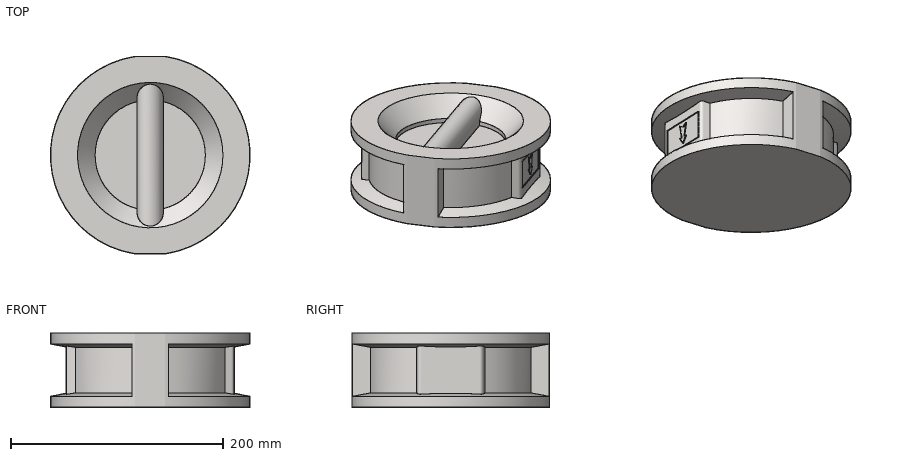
import cadquery as cq
import math

outer_radius = 94.0
flat_to_flat = 186.0
height = 70.0
rim_thickness = 10.3
core_radius = 77.5
flange_root_thickness = 13.5

mouth_radius = 68.5
throat_radius = 51.9
cone_depth = 19.0
floor_depth = 23.1

bar_width = 24.6
bar_radius = bar_width / 2
bar_top_depth = 1.9

rib_half_width = 17.1

boss_reach = 79.1
boss_root_half_width = 32.3
boss_face_half_width = 30.3
boss_edge_radius = 3.4

plate_width = 50.4
plate_height = 26.7
plate_depth = 1.0
arrow_length = 20.0
arrow_half_width = 5.0
arrow_neck_half_width = 2.0
arrow_head_length = 6.8
arrow_tail_notch = 3.0

middle = height / 2


def make_body():
    profile = [
        (0, 0),
        (outer_radius, 0),
        (outer_radius, rim_thickness),
        (core_radius, flange_root_thickness),
        (core_radius, height - flange_root_thickness),
        (outer_radius, height - rim_thickness),
        (outer_radius, height),
        (0, height),
    ]
    return cq.Workplane("XZ").polyline(profile).close().revolve(360, (0, 0), (0, 1))


def make_ribs():
    disc = cq.Workplane("XY").circle(outer_radius).extrude(height)
    strip = cq.Workplane("XY").rect(2 * rib_half_width, 2 * outer_radius).extrude(height)
    return disc.intersect(strip)


def make_bosses():
    root_x = math.sqrt(core_radius**2 - boss_root_half_width**2)
    outline = [
        (-boss_reach, -boss_face_half_width),
        (-root_x, -boss_root_half_width),
        (root_x, -boss_root_half_width),
        (boss_reach, -boss_face_half_width),
        (boss_reach, boss_face_half_width),
        (root_x, boss_root_half_width),
        (-root_x, boss_root_half_width),
        (-boss_reach, boss_face_half_width),
    ]
    bosses = cq.Workplane("XY").polyline(outline).close().extrude(height)
    outer_corners = bosses.edges("|Z and (>X or <X)")
    return outer_corners.fillet(boss_edge_radius)


def make_mouth():
    profile = [
        (0, height),
        (mouth_radius, height),
        (throat_radius, height - cone_depth),
        (throat_radius, height - floor_depth),
        (0, height - floor_depth),
    ]
    return cq.Workplane("XZ").polyline(profile).close().revolve(360, (0, 0), (0, 1))


def make_bar():
    floor = height - floor_depth
    top = height - bar_top_depth
    bar = (
        cq.Workplane("XZ")
        .moveTo(-bar_radius, floor)
        .lineTo(bar_radius, floor)
        .lineTo(bar_radius, top - bar_radius)
        .threePointArc((0, top), (-bar_radius, top - bar_radius))
        .close()
        .extrude(mouth_radius, both=True)
    )
    return bar


def make_nameplate_recess():
    plate = (
        cq.Workplane("XY")
        .box(plate_depth, plate_width, plate_height, centered=(False, True, True))
        .translate((-boss_reach, 0, middle))
    )
    tail = middle + arrow_length / 2
    tip = middle - arrow_length / 2
    shoulder = tip + arrow_head_length
    arrow_outline = [
        (0, tip),
        (arrow_half_width, shoulder),
        (arrow_neck_half_width, shoulder),
        (arrow_half_width, tail),
        (0, tail - arrow_tail_notch),
        (-arrow_half_width, tail),
        (-arrow_neck_half_width, shoulder),
        (-arrow_half_width, shoulder),
    ]
    arrow = (
        cq.Workplane("YZ", origin=(-boss_reach, 0, 0))
        .polyline(arrow_outline)
        .close()
        .extrude(plate_depth)
    )
    return plate.cut(arrow)


mouth = make_mouth().cut(make_bar())
trim = cq.Workplane("XY").rect(2 * outer_radius, flat_to_flat).extrude(height)

result = (
    make_body()
    .union(make_ribs())
    .union(make_bosses())
    .intersect(trim)
    .cut(mouth)
    .cut(make_nameplate_recess())
)